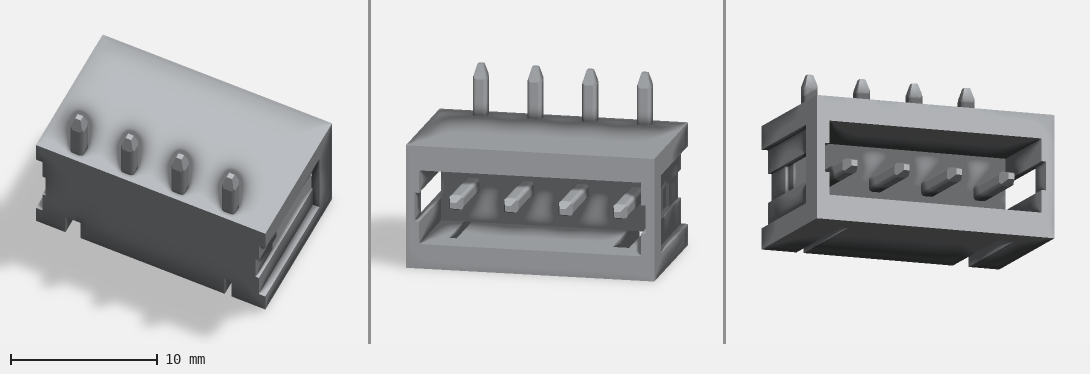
import cadquery as cq

WIDTH = 17.36
DEPTH = 10.45
HEIGHT = 8.61
TOTAL_HEIGHT = 12.2

SIDE_WALL = 0.94
FLOOR = 1.72
FRONT_WALL = 3.66

BACK_RIM = 2.0
RECESS_DEPTH = 0.49
RECESS_BOTTOM = 1.48
RECESS_TOP = HEIGHT - 1.65
WINDOW_BOTTOM = 3.3
WINDOW_TOP = HEIGHT - WINDOW_BOTTOM
GROOVE_DEPTH = 0.73
WINDOW_START = 2.65
BACK_RIM_WALL = 0.6
RECESS_END = DEPTH - BACK_RIM

SLOT_OFFSET = 5.87
WIDE_SLOT = 1.15
NARROW_SLOT = 0.52
SLOT_END = 8.33

PIN_COUNT = 4
PIN_PITCH = 3.82
PIN_ROW_CENTER = -0.15
PIN_SIZE = 1.0
PIN_RADIUS = 0.26
TIP_SIZE = 0.42
TIP_LENGTH = 1.0
PIN_Y = 0.99
CONTACT_Z = HEIGHT / 2
CONTACT_END = 9.55
PIN_EMBED = 0.87


def block(x_range, y_range, z_range):
    """Axis-aligned box spanning the given ranges."""
    sizes = [high - low for low, high in (x_range, y_range, z_range)]
    corner = (x_range[0], y_range[0], z_range[0])
    return cq.Workplane("XY").box(*sizes, centered=False).translate(corner)


def side_recess():
    """Cutter for the left side wall: recess, deeper groove, window into the cavity, rim relief."""
    left = -WIDTH / 2
    window_z = (WINDOW_BOTTOM, WINDOW_TOP)
    recess = block((left, left + RECESS_DEPTH), (0, RECESS_END), (RECESS_BOTTOM, RECESS_TOP))
    groove = block((left, left + GROOVE_DEPTH), (0, RECESS_END), window_z)
    window = block((left, left + SIDE_WALL), (WINDOW_START, RECESS_END), window_z)
    relief = block((left + BACK_RIM_WALL, left + SIDE_WALL), (RECESS_END, DEPTH), window_z)
    return recess.union(groove).union(window).union(relief)


def keying_slot(center_x, width):
    return block((center_x - width / 2, center_x + width / 2), (0, SLOT_END), (0, FLOOR))


def pin_bar(length):
    """Upright rounded square bar starting at Z = 0, with a pyramid tip at its upper end."""
    shank_length = length - TIP_LENGTH
    bar = cq.Workplane("XY").rect(PIN_SIZE, PIN_SIZE).extrude(length).edges("|Z").fillet(PIN_RADIUS)
    shank = cq.Workplane("XY").rect(PIN_SIZE, PIN_SIZE).extrude(shank_length)
    tip = (
        cq.Workplane("XY", origin=(0, 0, shank_length))
        .rect(PIN_SIZE, PIN_SIZE)
        .workplane(offset=TIP_LENGTH)
        .rect(TIP_SIZE, TIP_SIZE)
        .loft(combine=True)
    )
    return bar.intersect(shank.union(tip))


def build_housing():
    body = block((-WIDTH / 2, WIDTH / 2), (0, DEPTH), (0, HEIGHT))
    inner_half = WIDTH / 2 - SIDE_WALL
    cavity = block((-inner_half, inner_half), (FRONT_WALL, DEPTH), (FLOOR, HEIGHT - FLOOR))
    left_recess = side_recess()
    body = body.cut(cavity).cut(left_recess).cut(left_recess.mirror("YZ"))
    body = body.cut(keying_slot(-SLOT_OFFSET, WIDE_SLOT))
    return body.cut(keying_slot(SLOT_OFFSET, NARROW_SLOT))


def build_pin():
    """Solder tail rising from the top face, and contact reaching back through the cavity."""
    tail_start = HEIGHT - PIN_EMBED
    tail = pin_bar(TOTAL_HEIGHT - tail_start).translate((0, PIN_Y, tail_start))
    contact_start = FRONT_WALL - PIN_EMBED
    contact = pin_bar(CONTACT_END - contact_start).rotate((0, 0, 0), (1, 0, 0), -90)
    return tail.union(contact.translate((0, contact_start, CONTACT_Z)))


result = build_housing()
pin = build_pin()
for index in range(PIN_COUNT):
    pin_x = PIN_ROW_CENTER + (index - (PIN_COUNT - 1) / 2) * PIN_PITCH
    result = result.union(pin.translate((pin_x, 0, 0)))